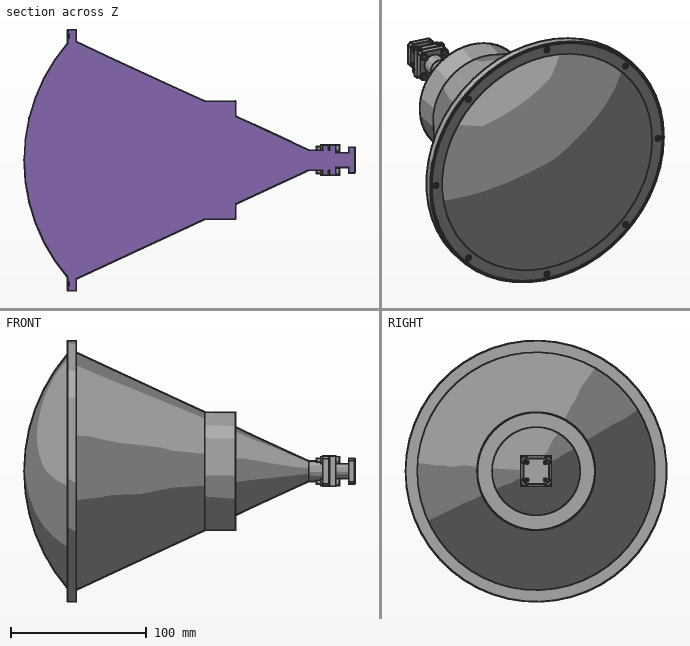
import cadquery as cq
import math

TOTAL_LENGTH = 243.79
RIM_FRONT = 32.0
RIM_BACK = 38.5
COLLAR_FRONT = 133.3
COLLAR_BACK = 156.0
HORN_END = 209.6
FRONT_FLANGE_START = 219.9
FRONT_FLANGE_END = 224.4
REAR_FLANGE_START = 225.0
REAR_FLANGE_END = 229.7
END_FLANGE_START = 239.1

RIM_RADIUS = 192.53 / 2
RIM_EDGE_CHAMFER = 0.3
DOME_EDGE_RADIUS = 86.3
CONE_FRONT_RADIUS = 87.6
COLLAR_RADIUS = 43.6
COLLAR_EDGE_CHAMFER = 0.45
HORN_FRONT_RADIUS = 32.5
THROAT_RADIUS = 7.6
GUIDE_RADIUS = 5.6

SEAM_RADIUS = 95.0
SEAM_WIDTH = 0.2
SEAM_DEPTH = 0.3

RIM_SCREW_COUNT = 8
RIM_SCREW_CIRCLE_RADIUS = 91.3
RIM_SCREW_HEAD_RADIUS = 2.15
HEAD_GAP = 0.15
HEAD_GAP_DEPTH = 0.3
CROSS_LENGTH = 2.6
CROSS_WIDTH = 0.5
CROSS_DEPTH = 1.0

PAIR_SIZE = 22.4
PAIR_CORNER_CHAMFER = 1.9
BOLT_PITCH_Y = 17.04
BOLT_PITCH_Z = 16.26
BOLT_SLOT_WIDTH = 3.4

SHANK_DIAMETER = 3.0
SHANK_PROTRUSION = 4.5
NUT_DIAMETER = 5.2
NUT_THICKNESS = 1.5
HEAD_DIAMETER = 5.2
HEAD_LENGTH = 2.8

END_SIZE = 19.05
END_CORNER_CHAMFER = 1.9
END_EDGE_CHAMFER = 0.4
END_HOLE_DIAMETER = 2.5
END_HOLE_PITCH_Y = 13.46
END_HOLE_PITCH_Z = 12.7


def cross_plane(x):
    """Workplane normal to the part axis, with local x along Y and local y along Z."""
    return cq.Workplane("YZ", origin=(x, 0, 0))


def corner_points(pitch_y, pitch_z):
    return [(side_y * pitch_y / 2, side_z * pitch_z / 2) for side_y in (-1, 1) for side_z in (-1, 1)]


def rods(start, end, diameter, centres):
    return cross_plane(start).pushPoints(centres).circle(diameter / 2).extrude(end - start)


def square_plate(start, end, size):
    return cross_plane(start).rect(size, size).extrude(end - start)


def turned_body():
    """Dome, rim, cones, collar and waveguide tube, revolved about X."""
    sphere_radius = (DOME_EDGE_RADIUS**2 + RIM_FRONT**2) / (2 * RIM_FRONT)
    half_angle = math.asin(DOME_EDGE_RADIUS / sphere_radius) / 2
    dome_middle = (
        sphere_radius * (1 - math.cos(half_angle)),
        -sphere_radius * math.sin(half_angle),
    )
    profile = (
        cq.Workplane("XY")
        .moveTo(0, 0)
        .threePointArc(dome_middle, (RIM_FRONT, -DOME_EDGE_RADIUS))
        .lineTo(RIM_FRONT, -RIM_RADIUS + RIM_EDGE_CHAMFER)
        .lineTo(RIM_FRONT + RIM_EDGE_CHAMFER, -RIM_RADIUS)
        .lineTo(RIM_BACK, -RIM_RADIUS)
        .lineTo(RIM_BACK, -CONE_FRONT_RADIUS)
        .lineTo(COLLAR_FRONT, -COLLAR_RADIUS)
        .lineTo(COLLAR_BACK - COLLAR_EDGE_CHAMFER, -COLLAR_RADIUS)
        .lineTo(COLLAR_BACK, -COLLAR_RADIUS + COLLAR_EDGE_CHAMFER)
        .lineTo(COLLAR_BACK, -HORN_FRONT_RADIUS)
        .lineTo(HORN_END, -THROAT_RADIUS)
        .lineTo(REAR_FLANGE_START, -THROAT_RADIUS)
        .lineTo(REAR_FLANGE_START, -GUIDE_RADIUS)
        .lineTo(TOTAL_LENGTH, -GUIDE_RADIUS)
        .lineTo(TOTAL_LENGTH, 0)
        .close()
    )
    return profile.revolve(360, (0, 0, 0), (1, 0, 0))


def ring(outer_radius, width, depth):
    """Ring-shaped cutter sunk into the front face of the rim, centred on the X axis."""
    return cross_plane(RIM_FRONT).circle(outer_radius).circle(outer_radius - width).extrude(depth)


def rim_screw_cutter():
    """Gap around one flush screw head and its cross recess, centred on the X axis."""
    face = cross_plane(RIM_FRONT)
    gap = ring(RIM_SCREW_HEAD_RADIUS, HEAD_GAP, HEAD_GAP_DEPTH)
    bar_y = face.rect(CROSS_LENGTH, CROSS_WIDTH).extrude(CROSS_DEPTH)
    bar_z = face.rect(CROSS_WIDTH, CROSS_LENGTH).extrude(CROSS_DEPTH)
    return gap.union(bar_y).union(bar_z)


def add_rim_details(body):
    body = body.cut(ring(SEAM_RADIUS, SEAM_WIDTH, SEAM_DEPTH))
    cutter = rim_screw_cutter()
    for index in range(RIM_SCREW_COUNT):
        angle = 2 * math.pi * index / RIM_SCREW_COUNT
        offset_y = RIM_SCREW_CIRCLE_RADIUS * math.cos(angle)
        offset_z = RIM_SCREW_CIRCLE_RADIUS * math.sin(angle)
        body = body.cut(cutter.translate((0, offset_y, offset_z)))
    return body


def front_flange():
    plate = square_plate(FRONT_FLANGE_START, FRONT_FLANGE_END, PAIR_SIZE)
    return plate.edges("|X").chamfer(PAIR_CORNER_CHAMFER)


def rear_flange():
    """Square plate with round-bottomed bolt slots open to the top and bottom edges."""
    thickness = REAR_FLANGE_END - REAR_FLANGE_START
    plate = square_plate(REAR_FLANGE_START, REAR_FLANGE_END, PAIR_SIZE)
    centres = corner_points(BOLT_PITCH_Y, BOLT_PITCH_Z)
    plate = plate.cut(rods(REAR_FLANGE_START, REAR_FLANGE_END, BOLT_SLOT_WIDTH, centres))
    slot_length = (PAIR_SIZE - BOLT_PITCH_Z) / 2
    mouths = (
        cross_plane(REAR_FLANGE_START)
        .pushPoints(corner_points(BOLT_PITCH_Y, BOLT_PITCH_Z + slot_length))
        .rect(BOLT_SLOT_WIDTH, slot_length)
        .extrude(thickness)
    )
    return plate.cut(mouths)


def flange_bolts():
    centres = corner_points(BOLT_PITCH_Y, BOLT_PITCH_Z)
    shanks = rods(FRONT_FLANGE_START - SHANK_PROTRUSION, REAR_FLANGE_END, SHANK_DIAMETER, centres)
    nuts = rods(FRONT_FLANGE_START - NUT_THICKNESS, FRONT_FLANGE_START, NUT_DIAMETER, centres)
    heads = rods(REAR_FLANGE_END, REAR_FLANGE_END + HEAD_LENGTH, HEAD_DIAMETER, centres)
    return shanks.union(nuts).union(heads)


def end_flange():
    plate = square_plate(END_FLANGE_START, TOTAL_LENGTH, END_SIZE)
    plate = plate.edges("|X").chamfer(END_CORNER_CHAMFER)
    plate = plate.faces(">X").edges().chamfer(END_EDGE_CHAMFER)
    centres = corner_points(END_HOLE_PITCH_Y, END_HOLE_PITCH_Z)
    return plate.cut(rods(END_FLANGE_START, TOTAL_LENGTH, END_HOLE_DIAMETER, centres))


result = (
    add_rim_details(turned_body())
    .union(front_flange())
    .union(rear_flange())
    .union(flange_bolts())
    .union(end_flange())
)